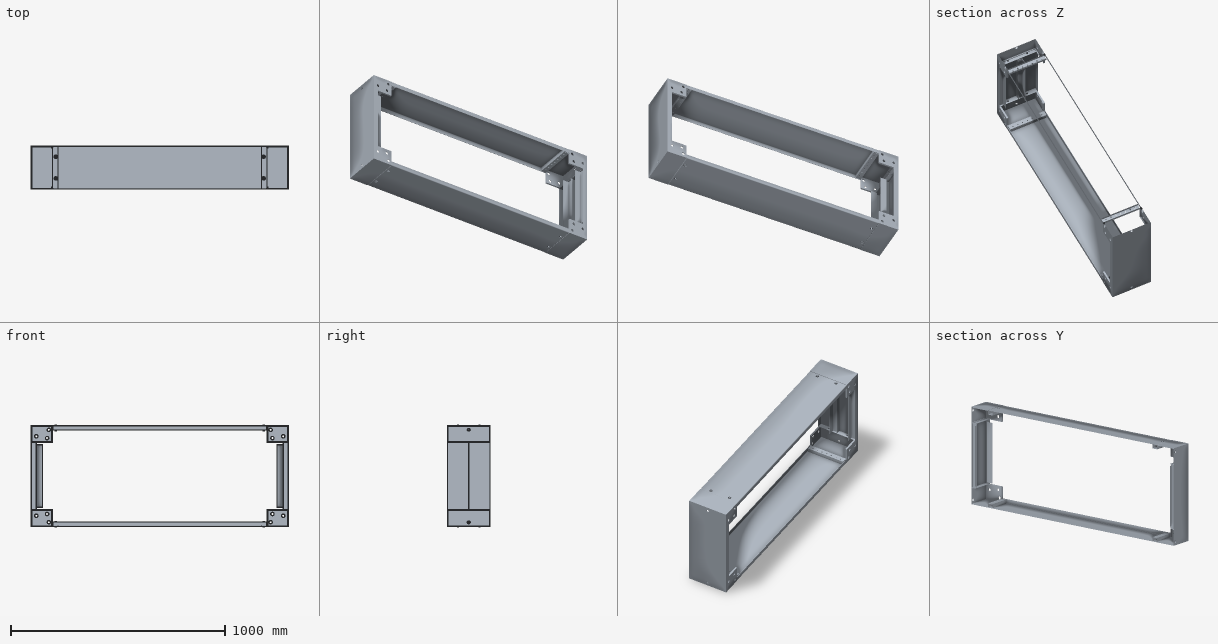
import cadquery as cq
frame_length = 1200.0
frame_depth = 200.0
frame_height = 472.0
stud_projection = 3.0

corner_length = 100.0
corner_height = 79.0
corner_sheet = 4.0
rim_width = 8.0
side_hole_diameter = 15.0
side_hole_places = [(24.0, 50.0), (83.0, 20.0), (75.0, 59.0)]
end_hole_diameter = 12.0
end_hole_drop = 19.0

long_panel_sheet = 1.8
bend_radius = 4.0
flange_depth = 22.0
long_panel_length = frame_length - 2 * corner_length
rail_width = 26.0
rail_end_gap = 4.0
rail_hole_diameter = 6.0
rail_hole_inset = 15.0
rail_pitch = 25.0
rail_hole_steps = [-3, -1, 0, 1, 3]
stud_steps = [-2, 2]
stud_diameter = 6.0
stud_clearance_diameter = 15.0

side_panel_sheet = 1.0
side_panel_depth = 24.0
side_panel_width = frame_depth / 2
side_panel_length = frame_height - 2 * corner_height
side_panel_hole_diameter = 10.0
step_width = 20.0
rib_reach = 54.0
rib_length = 293.0


def box(x_range, y_range, z_range):
    """Box between the given limits on each axis."""
    size = [high - low for low, high in (x_range, y_range, z_range)]
    return cq.Workplane().box(*size, centered=False).translate((x_range[0], y_range[0], z_range[0]))


def post(x, y, z_range, diameter):
    """Upright cylinder between two heights."""
    low, high = z_range
    return cq.Workplane().center(x, y).circle(diameter / 2).extrude(high - low).translate((0, 0, low))


def make_corner():
    """Corner piece at +X, +Z."""
    outer_x = frame_length / 2
    outer_z = frame_height / 2
    inner_x = outer_x - corner_length
    inner_z = outer_z - corner_height
    half_depth = frame_depth / 2
    cavity_half_depth = half_depth - corner_sheet
    mouth_half_depth = half_depth - rim_width
    ceiling_z = outer_z - corner_sheet

    corner = box((inner_x, outer_x), (-half_depth, half_depth), (inner_z, outer_z))
    cavity = box(
        (inner_x + corner_sheet, outer_x - corner_sheet),
        (-cavity_half_depth, cavity_half_depth),
        (inner_z + corner_sheet, ceiling_z),
    )
    mouth = box(
        (inner_x, outer_x - rim_width),
        (-mouth_half_depth, mouth_half_depth),
        (inner_z, ceiling_z),
    )
    side_holes = (
        cq.Workplane("XZ")
        .pushPoints([(outer_x - x, outer_z - z) for x, z in side_hole_places])
        .circle(side_hole_diameter / 2)
        .extrude(half_depth, both=True)
    )
    end_hole = (
        cq.Workplane("YZ", origin=(outer_x, 0, outer_z - end_hole_drop))
        .circle(end_hole_diameter / 2)
        .extrude(-corner_sheet)
    )
    return corner.cut(cavity).cut(mouth).cut(side_holes).cut(end_hole)


def add_rail(panel, end):
    """Close a hollow rail across one end of a long panel and fit its holes and studs."""
    end_x = end * long_panel_length / 2
    inner_x = end_x - end * rail_width
    wall_x = inner_x + end * long_panel_sheet
    hole_x = end_x - end * rail_hole_inset
    rail_half_length = frame_depth / 2 - long_panel_sheet - rail_end_gap
    top_sheet = (flange_depth - long_panel_sheet, flange_depth)

    strip = box(sorted((inner_x, end_x)), (-rail_half_length, rail_half_length), top_sheet)
    wall = box(
        sorted((inner_x, wall_x)),
        (-rail_half_length, rail_half_length),
        (long_panel_sheet / 2, flange_depth),
    )
    panel = panel.union(strip).union(wall)

    for step in rail_hole_steps:
        panel = panel.cut(post(hole_x, step * rail_pitch, top_sheet, rail_hole_diameter))
    for step in stud_steps:
        stud_y = step * rail_pitch
        panel = panel.cut(post(hole_x, stud_y, (0, long_panel_sheet), stud_clearance_diameter))
        stud_range = (-stud_projection, flange_depth + stud_projection)
        panel = panel.union(post(hole_x, stud_y, stud_range, stud_diameter))
    return panel


def make_long_panel():
    """Bottom panel: a tray open upwards with a rail at each end."""
    panel = (
        cq.Workplane()
        .box(long_panel_length, frame_depth, flange_depth, centered=(True, True, False))
        .faces("<Z")
        .edges()
        .fillet(bend_radius)
        .faces(">Z")
        .shell(-long_panel_sheet)
    )
    for end in (-1, 1):
        panel = add_rail(panel, end)
    return panel.translate((0, 0, -frame_height / 2))


def make_side_panel():
    """Side panel for the +X end, running from Y = 0 to its full width."""
    outer_x = frame_length / 2
    inner_x = outer_x - side_panel_depth
    half_length = side_panel_length / 2
    panel = box((inner_x, outer_x), (0, side_panel_width), (-half_length, half_length))
    panel = panel.faces("<X").shell(-side_panel_sheet)

    end_holes = post(
        outer_x - side_panel_depth / 2,
        side_panel_width / 2,
        (-half_length, half_length),
        side_panel_hole_diameter,
    )
    panel = panel.cut(end_holes)

    rib_z = (-rib_length / 2, rib_length / 2)
    step_y = side_panel_width - step_width
    step = box((inner_x, inner_x + side_panel_sheet), (step_y, side_panel_width), rib_z)
    rib = box((outer_x - rib_reach, inner_x + side_panel_sheet), (step_y, step_y + side_panel_sheet), rib_z)
    return panel.union(step).union(rib)


corner = make_corner()
left_corner = corner.mirror("YZ")
corners = []
for upper_corner in (corner, left_corner):
    corners.append(upper_corner.val())
    corners.append(upper_corner.mirror("XY").val())

bottom_panel = make_long_panel()
long_panels = [bottom_panel.val(), bottom_panel.mirror("XY").val()]

side_panel = make_side_panel()
side_panels = []
for panel_at_end in (side_panel, side_panel.mirror("YZ")):
    for shift in (0, -side_panel_width):
        side_panels.append(panel_at_end.translate((0, shift, 0)).val())

result = cq.Compound.makeCompound([*corners, *long_panels, *side_panels])